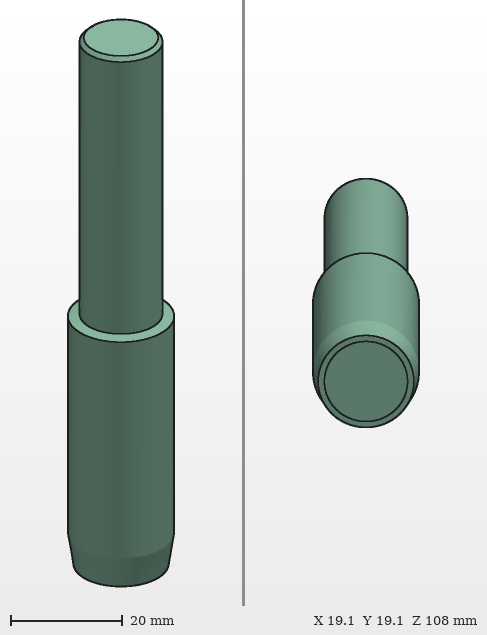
import cadquery as cq

total_length = 108.0
shaft_diameter = 14.9
shaft_chamfer = 0.8

sleeve_diameter = 19.05
sleeve_side_top = 50.8
sleeve_top_rise = 0.5
lead_in_height = 6.35
lead_in_diameter = 17.145

shaft_radius = shaft_diameter / 2
sleeve_radius = sleeve_diameter / 2
lead_in_radius = lead_in_diameter / 2


def make_shaft():
    """Round bar standing on Z = 0."""
    bar = cq.Workplane("XY").circle(shaft_radius).extrude(total_length)
    return bar.faces(">Z").chamfer(shaft_chamfer)


def make_sleeve():
    """Half-section revolved about Z: tapered lead-in, straight side, slightly conical top."""
    half_section = (
        cq.Workplane("XZ")
        .moveTo(shaft_radius, 0)
        .lineTo(lead_in_radius, 0)
        .lineTo(sleeve_radius, lead_in_height)
        .lineTo(sleeve_radius, sleeve_side_top)
        .lineTo(shaft_radius, sleeve_side_top + sleeve_top_rise)
        .close()
    )
    return half_section.revolve(360, (0, 0, 0), (0, 1, 0))


shaft = make_shaft()
sleeve = make_sleeve()

result = cq.Compound.makeCompound([shaft.val(), sleeve.val()])